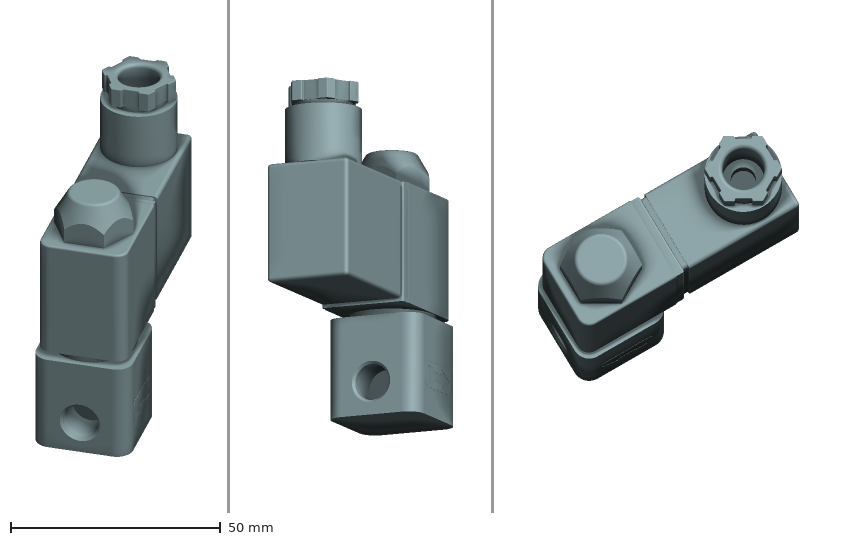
import cadquery as cq
import math


block_side = 24.0
block_height = 24.2
block_corner_radius = 4.0
port_bore = 8.8
port_mouth = 10.0
port_depth = 9.0
port_z = 8.0
pad_length = 15.0
pad_height = 6.0
pad_thickness = 0.1
pad_corner_radius = 2.1
pad_z = 10.0

arrow_tail = -6.0
arrow_tail_notch = -5.0
arrow_tail_end = -2.3
arrow_head_root = 2.3
arrow_barb = 2.0
arrow_tip = 7.0
arrow_tail_half = 2.2
arrow_shaft_half = 1.2
arrow_barb_half = 2.55

collar_diameter = 21.0

coil_width = 21.8
coil_front_y = -11.05
coil_back_y = 14.4
coil_bottom_z = 25.8
coil_top_z = 55.2
coil_corner_radius = 3.0
coil_top_radius = 0.5
flange_inset = 0.2
flange_back_y = 16.8
flange_edge_radius = 0.5

nut_across_flats = 17.0
nut_top_z = 65.3
nut_top_flat_diameter = 11.05
nut_top_radius = 1.0
nut_cone_angle = 60.0

plug_width = 21.2
plug_bottom_z = 26.35
plug_top_z = 55.05
plug_front_y = 18.25
plug_back_y = 48.9
plug_edge_radius = 1.0
gasket_inset_x = 0.6
gasket_inset_z = 0.3

gland_y = 39.35
gland_diameter = 18.5
gland_top_z = 69.0
gland_neck_diameter = 14.5
cap_bottom_z = 70.3
cap_top_z = 75.1
cap_across_flats = 16.0
cap_top_edge_radius = 0.15
grip_depth = 0.7
grip_width = 4.1
grip_edge_radius = 0.3
gland_bore = 10.0
gland_bore_depth = 12.0
gland_mouth_radius = 1.0
cable_hole = 6.0
cable_hole_depth = 3.75


def box(width, y_min, y_max, z_min, z_max):
    """Block centred on X = 0 between the given Y and Z limits."""
    size_y = y_max - y_min
    return (
        cq.Workplane("XY", origin=(0, (y_min + y_max) / 2, z_min))
        .rect(width, size_y)
        .extrude(z_max - z_min)
    )


def cylinder(diameter, y, z_min, z_max):
    """Upright cylinder on the X = 0 plane."""
    return cq.Workplane("XY", origin=(0, y, z_min)).circle(diameter / 2).extrude(z_max - z_min)


def hexagon(across_flats, y, z_min, z_max):
    """Upright hexagonal prism with corners pointing along X."""
    across_corners = across_flats / math.cos(math.radians(30))
    return cq.Workplane("XY", origin=(0, y, z_min)).polygon(6, across_corners).extrude(z_max - z_min)


def make_port():
    """Blind port in the -Y face with a 45 degree lead-in."""
    lead_in = (port_mouth - port_bore) / 2
    profile = [
        (0, 0),
        (port_mouth / 2, 0),
        (port_bore / 2, lead_in),
        (port_bore / 2, port_depth),
        (0, port_depth),
    ]
    return (
        cq.Workplane("XY", origin=(0, -block_side / 2, port_z))
        .polyline(profile)
        .close()
        .revolve(360, (0, 0, 0), (0, 1, 0))
    )


def make_pad():
    """Thin rounded pad on the -X face with the flow arrow cut into it, pointing to -Y."""
    pad = (
        cq.Workplane("YZ", origin=(-block_side / 2 - pad_thickness, 0, pad_z))
        .rect(pad_length, pad_height)
        .extrude(2 * pad_thickness)
        .edges("|X")
        .fillet(pad_corner_radius)
    )
    arrow = (
        cq.Workplane("YZ", origin=(-block_side / 2, 0, pad_z))
        .moveTo(-arrow_tail, arrow_tail_half)
        .lineTo(-arrow_tail_end, arrow_tail_half)
        .lineTo(-arrow_tail_end, arrow_shaft_half)
        .lineTo(-arrow_head_root, arrow_shaft_half)
        .lineTo(-arrow_barb, arrow_barb_half)
        .lineTo(-arrow_tip, 0)
        .lineTo(-arrow_barb, -arrow_barb_half)
        .lineTo(-arrow_head_root, -arrow_shaft_half)
        .lineTo(-arrow_tail_end, -arrow_shaft_half)
        .lineTo(-arrow_tail_end, -arrow_tail_half)
        .lineTo(-arrow_tail, -arrow_tail_half)
        .threePointArc((-arrow_tail_notch, 0), (-arrow_tail, arrow_tail_half))
        .close()
        .extrude(-pad_thickness)
    )
    return pad.cut(arrow)


def make_valve_block():
    half = block_side / 2
    block = box(block_side, -half, half, 0, block_height).edges("|Z").fillet(block_corner_radius)
    port = make_port()
    pad = make_pad()
    block = block.union(pad).union(pad.mirror("YZ"))
    return block.cut(port).cut(port.mirror("XZ"))


def make_coil():
    housing = box(coil_width, coil_front_y, coil_back_y, coil_bottom_z, coil_top_z)
    housing = housing.edges("|Z and <Y").fillet(coil_corner_radius)
    housing = housing.faces(">Z").edges("not >Y").fillet(coil_top_radius)
    flange = box(
        coil_width - 2 * flange_inset,
        coil_back_y,
        flange_back_y,
        coil_bottom_z,
        coil_top_z - flange_inset,
    )
    flange = flange.faces(">Y").edges("|Z or >Z").fillet(flange_edge_radius)
    collar = cylinder(collar_diameter, 0, block_height, coil_bottom_z)
    return housing.union(flange).union(collar)


def make_nut():
    """Hexagonal nut turned to a cone at the top with a rounded, flat end."""
    prism = hexagon(nut_across_flats, 0, coil_top_z, nut_top_z)
    angle = math.radians(nut_cone_angle)
    cone_top_radius = nut_top_flat_diameter / 2 + nut_top_radius * math.tan(angle / 2)
    cone_drop = nut_top_z - coil_top_z
    cone_base_radius = cone_top_radius + cone_drop / math.tan(angle)
    cone = (
        cq.Workplane("XZ")
        .moveTo(0, coil_top_z)
        .lineTo(cone_base_radius, coil_top_z)
        .lineTo(cone_top_radius, nut_top_z)
        .lineTo(0, nut_top_z)
        .close()
        .revolve(360, (0, 0, 0), (0, 1, 0))
    )
    cone = cone.faces(">Z").edges().fillet(nut_top_radius)
    return prism.intersect(cone)


def make_plug():
    body = box(plug_width, plug_front_y, plug_back_y, plug_bottom_z, plug_top_z)
    body = body.edges("|Y or >Y").fillet(plug_edge_radius)
    gasket = box(
        plug_width - 2 * gasket_inset_x,
        flange_back_y,
        plug_front_y,
        plug_bottom_z + gasket_inset_z,
        plug_top_z - gasket_inset_z,
    )
    gasket = gasket.edges("|Y").fillet(plug_edge_radius)
    return body.union(gasket)


def make_cap():
    """Hexagonal gland cap with a shallow grip recess in each side."""
    height = cap_top_z - cap_bottom_z
    flat = cap_across_flats / 2
    grip = cq.Workplane("XY").center(0, flat).rect(grip_width, 2 * grip_depth).extrude(height)
    cap = hexagon(cap_across_flats, 0, 0, height)
    for side in range(6):
        cap = cap.cut(grip.rotate((0, 0, 0), (0, 0, 1), 60 * side))
    cap = cap.edges("|Z").fillet(grip_edge_radius)
    cap = cap.faces(">Z").edges().fillet(cap_top_edge_radius)
    return cap.translate((0, gland_y, cap_bottom_z))


def make_gland():
    barrel = cylinder(gland_diameter, gland_y, plug_top_z, gland_top_z)
    neck = cylinder(gland_neck_diameter, gland_y, gland_top_z, cap_bottom_z)
    bore_floor_z = cap_top_z - gland_bore_depth
    gland = barrel.union(neck).union(make_cap())
    gland = gland.cut(cylinder(gland_bore, gland_y, bore_floor_z, cap_top_z))
    gland = gland.faces(">Z").edges(cq.selectors.RadiusNthSelector(-1)).fillet(gland_mouth_radius)
    return gland.cut(cylinder(cable_hole, gland_y, bore_floor_z - cable_hole_depth, bore_floor_z))


result = (
    make_valve_block()
    .union(make_coil())
    .union(make_nut())
    .union(make_plug())
    .union(make_gland())
)